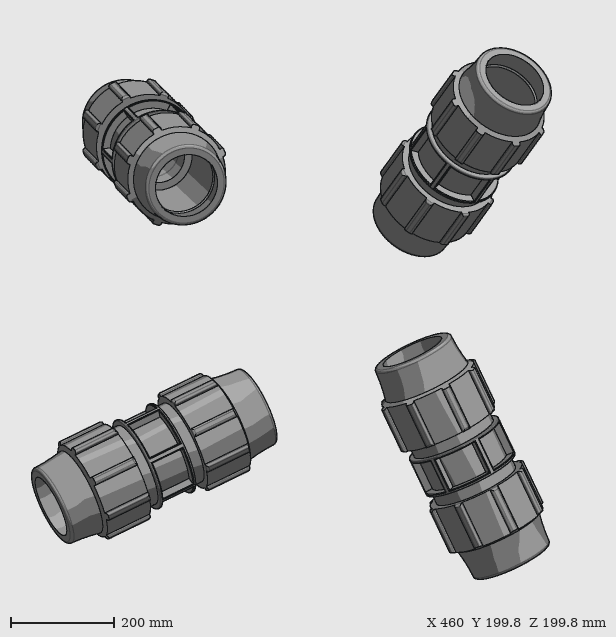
import cadquery as cq
import math


LENGTH = 460.0
HALF_LENGTH = LENGTH / 2

BODY_RADIUS = 169.7 / 2
FLANGE_RADIUS = 191.0 / 2
FLANGE_HALF_SPAN = 39.5
FLANGE_THICKNESS = 7.0
FLANGE_EDGE_FILLET = 1.5
PANEL_FLOOR_RADIUS = 79.5
FLANGE_TOP_WIDTH = 4.0
PANEL_BEVEL_WIDTH = 2.0
PANEL_BEVEL_DEPTH = 1.5
RIB_COUNT = 6
RIB_CREST_WIDTH = 7.5

NUT_LENGTH = 166.5
NUT_RADIUS = 98.5
MOUTH_FILLET = 5.5
SLEEVE_MOUTH_RADIUS = 81.5
SLEEVE_BACK_RADIUS = 88.5
SLEEVE_SAG = 1.5
SHOULDER_START = 66.0
SHOULDER_END = 70.5

LUG_COUNT = 8
LUG_CREST_RADIUS = 106.0
LUG_WIDTH = 17.5
LUG_FILLET = 4.5

STOP_RADIUS = 100.0 / 2
STOP_HALF_WIDTH = FLANGE_HALF_SPAN
MOUTH_RADIUS = 125.0 / 2
FLARE_RADIUS = 67.5
FLARE_DEPTH = 39.0
SOCKET_RADIUS = 65.5
SOCKET_START = 43.2


def revolve_about_x(profile):
    """Turn a closed half-section, drawn as (x, radius), around the X axis."""
    return profile.close().revolve(360, (0, 0, 0), (1, 0, 0))


def centred_cylinder(radius, length):
    """Solid cylinder along X, centred on the mid-plane of the part."""
    return cq.Workplane("YZ", origin=(-length / 2, 0, 0)).circle(radius).extrude(length)


def make_body():
    """Plain barrel joining the nuts, with the raised band between the flange faces."""
    barrel_length = LENGTH - 2 * SHOULDER_END
    barrel = centred_cylinder(BODY_RADIUS, barrel_length)
    band = centred_cylinder(FLANGE_RADIUS, 2 * FLANGE_HALF_SPAN)
    band = band.edges("%CIRCLE").fillet(FLANGE_EDGE_FILLET)
    return barrel.union(band).cut(make_panels())


def make_panels():
    """Recesses around the band: a bevelled groove interrupted by the axial ribs."""
    crest_x = FLANGE_HALF_SPAN - FLANGE_TOP_WIDTH
    bevel_x = crest_x - PANEL_BEVEL_WIDTH
    floor_x = FLANGE_HALF_SPAN - FLANGE_THICKNESS
    bevel_radius = FLANGE_RADIUS - PANEL_BEVEL_DEPTH
    groove = revolve_about_x(
        cq.Workplane("XY")
        .moveTo(-floor_x, PANEL_FLOOR_RADIUS)
        .lineTo(floor_x, PANEL_FLOOR_RADIUS)
        .lineTo(bevel_x, bevel_radius)
        .lineTo(crest_x, FLANGE_RADIUS)
        .lineTo(-crest_x, FLANGE_RADIUS)
        .lineTo(-bevel_x, bevel_radius)
    )
    crest_half = RIB_CREST_WIDTH / 2
    base_half = crest_half + PANEL_BEVEL_WIDTH
    rib = (
        cq.Workplane("YZ", origin=(-FLANGE_HALF_SPAN, 0, 0))
        .moveTo(-base_half, 0)
        .lineTo(-base_half, bevel_radius)
        .lineTo(-crest_half, FLANGE_RADIUS)
        .lineTo(crest_half, FLANGE_RADIUS)
        .lineTo(base_half, bevel_radius)
        .lineTo(base_half, 0)
        .close()
        .extrude(2 * FLANGE_HALF_SPAN)
    )
    pitch = 360 / RIB_COUNT
    for index in range(RIB_COUNT):
        groove = groove.cut(rib.rotate((0, 0, 0), (1, 0, 0), pitch * (index + 0.5)))
    return groove


def shoulder_x(radius):
    """Distance from the open end at which the conical shoulder reaches a radius."""
    slope = (SHOULDER_END - SHOULDER_START) / (NUT_RADIUS - SLEEVE_BACK_RADIUS)
    return SHOULDER_START + slope * (radius - SLEEVE_BACK_RADIUS)


def make_lug():
    """One rounded lug on the +Z side, running the whole length of the nut from the axis out."""
    lug = cq.Workplane("XY").box(NUT_LENGTH, LUG_WIDTH, LUG_CREST_RADIUS, centered=(False, True, False))
    return lug.faces(">Z").edges("|X or >X").fillet(LUG_FILLET)


def make_nut_envelope():
    """Turned outline of the nut: rounded mouth, bowed sleeve, and a shoulder rising past the lugs."""
    sleeve_mid_x = (MOUTH_FILLET + SHOULDER_START) / 2
    sleeve_mid_radius = (SLEEVE_MOUTH_RADIUS + SLEEVE_BACK_RADIUS) / 2 - SLEEVE_SAG
    fillet_mid = MOUTH_FILLET * (1 - math.sqrt(0.5))
    outer_radius = LUG_CREST_RADIUS + 4.5
    return revolve_about_x(
        cq.Workplane("XY")
        .lineTo(0, SLEEVE_MOUTH_RADIUS - MOUTH_FILLET)
        .threePointArc((fillet_mid, SLEEVE_MOUTH_RADIUS - fillet_mid), (MOUTH_FILLET, SLEEVE_MOUTH_RADIUS))
        .threePointArc((sleeve_mid_x, sleeve_mid_radius), (SHOULDER_START, SLEEVE_BACK_RADIUS))
        .lineTo(shoulder_x(outer_radius), outer_radius)
        .lineTo(NUT_LENGTH, outer_radius)
        .lineTo(NUT_LENGTH, 0)
    )


def make_nut():
    """Nut with its open end at x = 0, solid inside: a lugged cylinder trimmed to the outline."""
    lugged = cq.Workplane("YZ").circle(NUT_RADIUS).extrude(NUT_LENGTH)
    lug = make_lug()
    pitch = 360 / LUG_COUNT
    for index in range(LUG_COUNT):
        lugged = lugged.union(lug.rotate((0, 0, 0), (1, 0, 0), pitch * (index + 0.5)))
    return lugged.intersect(make_nut_envelope())


def make_bore():
    """Socket from one end down to the pipe stop, with the smaller hole through the stop."""
    stop_x = HALF_LENGTH - STOP_HALF_WIDTH
    return revolve_about_x(
        cq.Workplane("XY")
        .lineTo(0, MOUTH_RADIUS)
        .lineTo(FLARE_DEPTH, FLARE_RADIUS)
        .lineTo(SOCKET_START, SOCKET_RADIUS)
        .lineTo(stop_x, SOCKET_RADIUS)
        .lineTo(stop_x, STOP_RADIUS)
        .lineTo(HALF_LENGTH, STOP_RADIUS)
        .lineTo(HALF_LENGTH, 0)
    )


def at_both_ends(solid):
    """Place a left-end feature at the -X end and mirror it to the +X end."""
    left = solid.translate((-HALF_LENGTH, 0, 0))
    return left, left.mirror("YZ")


result = make_body()
for nut in at_both_ends(make_nut()):
    result = result.union(nut)
for bore in at_both_ends(make_bore()):
    result = result.cut(bore)